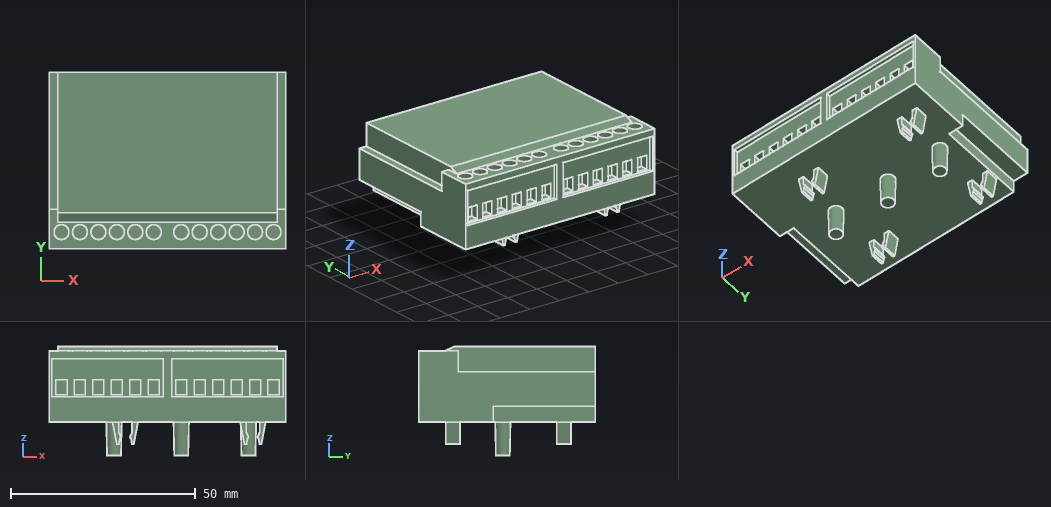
import cadquery as cq

LENGTH = 64
DEPTH = 47.8
BODY_HEIGHT = 19.25
TOP_HEIGHT = 20.5

LID_INSET = 2.4
SHELF_HEIGHT = 13.6
TERMINAL_DEPTH = 10.7
LID_FRONT_BOTTOM = 7.2
LID_FRONT_TOP = 9.7

UNDERCUT_INSET = 4.8
UNDERCUT_HEIGHT = 4.3
UNDERCUT_START = 20.2

POLES = 6
POLE_PITCH = 5.0
INNER_POLE_X = 3.7
SCREW_DIAMETER = 4.0
SCREW_Y = 4.55
SCREW_DEPTH = 2.4
RECESS_INNER_X = 1.1
RECESS_LENGTH = 30.2
RECESS_BOTTOM = 6.9
RECESS_TOP = 17.15
RECESS_DEPTH = 1.2
WIRE_WIDTH = 3.0
WIRE_HEIGHT = 4.1
WIRE_BOTTOM = 7.35
WIRE_DEPTH = 2.4

PIN_LENGTH = 9.1
PIN_TOP_RADIUS = 2.1
PIN_TIP_RADIUS = 1.9
PIN_PITCH = 18.2
MIDDLE_PIN_X = INNER_POLE_X
PIN_Y = 22.8
PIN_STEPS = (-1, 0, 1)

CLIP_CENTERS_X = (-11.4, 23.1)
CLIP_ROWS_Y = (7.3, 37.3)
CLIP_WIDTH = 3.9
LEG_LENGTH = 5.95
LEG_INNER = 1.8
LEG_OUTER = 3.45
LEG_TIP_INNER = 1.7
LEG_TIP_OUTER = 2.3
BARB_START = 2.8
BARB_DEPTH = 4.0
BARB_REACH = 1.2
BARB_END_DEPTH = 4.7
BARB_END = 1.55

SIDES = (-1, 1)


def box(x_size, y_size, z_size, x_center, y_start, z_start):
    """Box centred on x_center, with its front and bottom at the given places."""
    return (
        cq.Workplane("XY")
        .box(x_size, y_size, z_size, centered=(True, False, False))
        .translate((x_center, y_start, z_start))
    )


def make_housing():
    base = box(LENGTH, DEPTH, SHELF_HEIGHT, 0, 0, 0)
    terminal_bar = box(LENGTH, TERMINAL_DEPTH, BODY_HEIGHT, 0, 0, 0)
    lid_width = LENGTH - 2 * LID_INSET
    lid = (
        cq.Workplane("YZ")
        .moveTo(LID_FRONT_BOTTOM, SHELF_HEIGHT)
        .lineTo(LID_FRONT_BOTTOM, BODY_HEIGHT)
        .lineTo(LID_FRONT_TOP, TOP_HEIGHT)
        .lineTo(DEPTH, TOP_HEIGHT)
        .lineTo(DEPTH, SHELF_HEIGHT)
        .close()
        .extrude(lid_width / 2, both=True)
    )
    housing = base.union(terminal_bar).union(lid)
    for side in SIDES:
        undercut_x = side * (LENGTH - UNDERCUT_INSET) / 2
        undercut_length = DEPTH - UNDERCUT_START
        housing = housing.cut(
            box(UNDERCUT_INSET, undercut_length, UNDERCUT_HEIGHT, undercut_x, UNDERCUT_START, 0)
        )
    return housing


def cut_terminals(housing):
    """Cut the front recesses, the wire openings and the screw holes above them."""
    recess_height = RECESS_TOP - RECESS_BOTTOM
    for side in SIDES:
        recess_x = side * (RECESS_INNER_X + RECESS_LENGTH / 2)
        housing = housing.cut(
            box(RECESS_LENGTH, RECESS_DEPTH, recess_height, recess_x, 0, RECESS_BOTTOM)
        )
        for pole in range(POLES):
            pole_x = side * (INNER_POLE_X + pole * POLE_PITCH)
            wire_opening = box(WIRE_WIDTH, WIRE_DEPTH, WIRE_HEIGHT, pole_x, RECESS_DEPTH, WIRE_BOTTOM)
            screw_hole = (
                cq.Workplane("XY", origin=(pole_x, SCREW_Y, BODY_HEIGHT))
                .circle(SCREW_DIAMETER / 2)
                .extrude(-SCREW_DEPTH)
            )
            housing = housing.cut(wire_opening).cut(screw_hole)
    return housing


def make_pin(x_center):
    """Slightly tapered round pin below the housing."""
    return (
        cq.Workplane("XY", origin=(x_center, PIN_Y, 0))
        .circle(PIN_TOP_RADIUS)
        .workplane(offset=-PIN_LENGTH)
        .circle(PIN_TIP_RADIUS)
        .loft()
    )


def make_clip_leg(x_center, y_start, side):
    """One barbed leg; its barb points toward the clip centre."""
    profile = [
        (LEG_INNER, 0),
        (LEG_INNER, -BARB_START),
        (BARB_REACH, -BARB_DEPTH),
        (BARB_END, -BARB_END_DEPTH),
        (LEG_TIP_INNER, -LEG_LENGTH),
        (LEG_TIP_OUTER, -LEG_LENGTH),
        (LEG_OUTER, 0),
    ]
    points = [(x_center + side * x, z) for x, z in profile]
    return (
        cq.Workplane("XZ", origin=(0, y_start, 0))
        .polyline(points)
        .close()
        .extrude(-CLIP_WIDTH)
    )


result = cut_terminals(make_housing())

for step in PIN_STEPS:
    result = result.union(make_pin(MIDDLE_PIN_X + step * PIN_PITCH))

for clip_x in CLIP_CENTERS_X:
    for clip_y in CLIP_ROWS_Y:
        for side in SIDES:
            result = result.union(make_clip_leg(clip_x, clip_y, side))